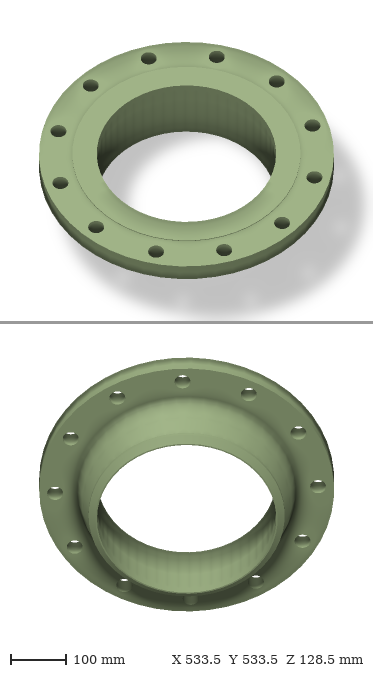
import cadquery as cq
import math

flange_diameter = 533.5
total_height = 128.5
bore_diameter = 324.5

face_diameter = 413.0
face_height = 1.5
flange_thickness = 35.0

bolt_count = 12
bolt_circle_diameter = 476.0
bolt_hole_diameter = 29.0

neck_end_diameter = 354.5
taper_rise = 3.8
taper_run = 13.0
fillet_radius = 8.0
weld_band_height = 6.5
weld_tip_diameter = 329.5
bevel_height = 10.0

band_bottom = bevel_height
band_top = band_bottom + weld_band_height
flange_top = total_height - face_height
flange_bottom = flange_top - flange_thickness

taper_angle = math.atan2(taper_rise, taper_run)
neck_end_radius = neck_end_diameter / 2
fillet_center_z = flange_bottom - fillet_radius
cone_tangent_z = fillet_center_z + fillet_radius * math.sin(taper_angle)
cone_tangent_radius = neck_end_radius + (cone_tangent_z - band_top) * math.tan(taper_angle)
fillet_center_radius = cone_tangent_radius + fillet_radius * math.cos(taper_angle)
mid_angle = (math.pi - taper_angle + math.pi / 2) / 2
fillet_mid = (
    fillet_center_radius + fillet_radius * math.cos(mid_angle),
    fillet_center_z + fillet_radius * math.sin(mid_angle),
)


def flange_body():
    """Revolve the radial section about Z."""
    return (
        cq.Workplane("XZ")
        .moveTo(bore_diameter / 2, 0)
        .lineTo(weld_tip_diameter / 2, 0)
        .lineTo(neck_end_radius, band_bottom)
        .lineTo(neck_end_radius, band_top)
        .lineTo(cone_tangent_radius, cone_tangent_z)
        .threePointArc(fillet_mid, (fillet_center_radius, flange_bottom))
        .lineTo(flange_diameter / 2, flange_bottom)
        .lineTo(flange_diameter / 2, flange_top)
        .lineTo(face_diameter / 2, flange_top)
        .lineTo(face_diameter / 2, total_height)
        .lineTo(bore_diameter / 2, total_height)
        .close()
        .revolve(360, (0, 0, 0), (0, 1, 0))
    )


def bolt_holes():
    """Cutters for the bolt holes, one on the +X axis."""
    return (
        cq.Workplane("XY")
        .workplane(offset=flange_bottom)
        .polarArray(bolt_circle_diameter / 2, 0, 360, bolt_count)
        .circle(bolt_hole_diameter / 2)
        .extrude(flange_thickness)
    )


result = flange_body().cut(bolt_holes())